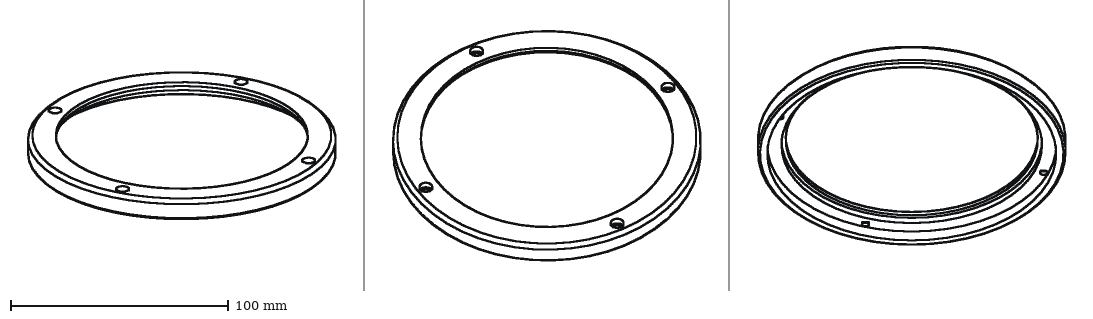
import cadquery as cq

outer_diameter = 141.6
height = 10.0
bore_diameter = 116.0
top_chamfer = 2.0
bottom_chamfer = 1.0

lip_thickness = 2.0
seat_diameter = 120.0
seat_depth = 3.0
cavity_diameter = 133.0

hole_count = 4
hole_circle_radius = (outer_diameter + bore_diameter) / 4
hole_diameter = 3.4
counterbore_diameter = 6.0
counterbore_depth = 3.0


def make_disc(diameter, thickness):
    return cq.Workplane("XY").circle(diameter / 2).extrude(thickness)


def make_ring():
    disc = make_disc(outer_diameter, height)
    disc = disc.faces(">Z").chamfer(top_chamfer)
    disc = disc.faces("<Z").chamfer(bottom_chamfer)
    seat_bottom = height - lip_thickness - seat_depth
    bore = make_disc(bore_diameter, height)
    seat = make_disc(seat_diameter, height - lip_thickness)
    cavity = make_disc(cavity_diameter, seat_bottom)
    return disc.cut(bore).cut(seat).cut(cavity)


def add_screw_holes(ring):
    return (
        ring.faces(">Z")
        .workplane(origin=(0, 0, height))
        .polarArray(hole_circle_radius, 0, 360, hole_count)
        .cboreHole(hole_diameter, counterbore_diameter, counterbore_depth)
    )


result = add_screw_holes(make_ring())